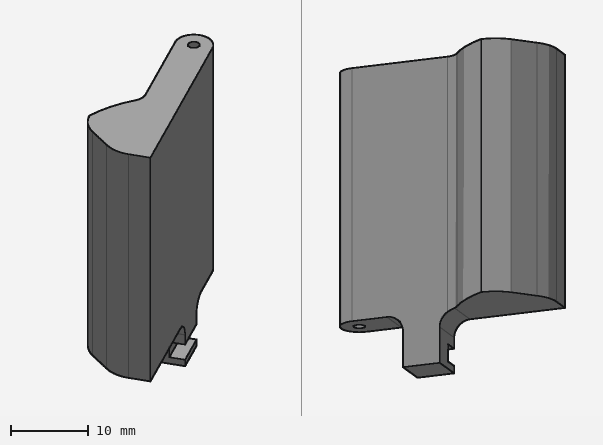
import cadquery as cq
import math

body_height = 34.0
length = 30.0
arm_thickness = 5.0
pin_diameter = 1.5

head_depth = 10.43
crest_y = 7.4
crest_radius = 5.0
crest_sweep = math.radians(45)
front_flat = 3.0
front_radius = 4.7
front_sweep = math.radians(45)
neck_y = 14.28
neck_radius = 2.0
neck_sweep = math.radians(53)
shoulder_radius = 17.0

tab_length = 7.0
tab_width = 5.1
tab_center_y = 17.9
tab_fillet = 2.2
slot_floor = 1.0
slot_height = 2.3
slot_depth = 2.1

pin_x = -arm_thickness / 2
pin_y = length - arm_thickness / 2


def point_on(center, radius, angle):
    """Point at the given angle on a circle."""
    return (center[0] + radius * math.cos(angle), center[1] + radius * math.sin(angle))


def make_prism(bottom, height):
    """Prism of the plate outline: a round-ended arm and a bulged head."""
    front_center = (-front_flat, front_radius)
    crest_center = (crest_radius - head_depth, crest_y)
    neck_center = (-arm_thickness - neck_radius, neck_y)
    front_start = -math.pi / 2
    crest = (-head_depth, crest_y)
    neck_end = point_on(neck_center, neck_radius, -neck_sweep)
    return (
        cq.Workplane("XY", origin=(0, 0, bottom))
        .moveTo(0, 0)
        .lineTo(-front_flat, 0)
        .threePointArc(
            point_on(front_center, front_radius, front_start - front_sweep / 2),
            point_on(front_center, front_radius, front_start - front_sweep),
        )
        .lineTo(*point_on(crest_center, crest_radius, math.pi + crest_sweep))
        .threePointArc(point_on(crest_center, crest_radius, math.pi + crest_sweep / 2), crest)
        .radiusArc(neck_end, shoulder_radius)
        .threePointArc(
            point_on(neck_center, neck_radius, -neck_sweep / 2),
            (-arm_thickness, neck_y),
        )
        .lineTo(-arm_thickness, pin_y)
        .threePointArc((pin_x, length), (0, pin_y))
        .close()
        .extrude(height)
    )


def make_tab():
    """Tab that follows the plate outline and flares into the body through a fillet on each side."""
    half_width = tab_width / 2
    flare_half_width = half_width + tab_fillet
    bend = tab_fillet * (1 - math.cos(math.radians(45)))
    silhouette = (
        cq.Workplane("YZ")
        .center(tab_center_y, 0)
        .moveTo(-half_width, -tab_length)
        .lineTo(half_width, -tab_length)
        .lineTo(half_width, -tab_fillet)
        .threePointArc((half_width + bend, -bend), (flare_half_width, 0))
        .lineTo(-flare_half_width, 0)
        .threePointArc((-half_width - bend, -bend), (-half_width, -tab_fillet))
        .close()
        .extrude(-head_depth)
    )
    return silhouette.intersect(make_prism(-tab_length, tab_length))


def make_slot():
    """Notch across the back of the tab."""
    return (
        cq.Workplane("XY")
        .box(slot_depth, tab_width, slot_height, centered=(False, True, False))
        .translate((-slot_depth, tab_center_y, slot_floor - tab_length))
    )


def make_pin_hole():
    """Through hole on the axis of the rounded arm end."""
    return cq.Workplane("XY").center(pin_x, pin_y).circle(pin_diameter / 2).extrude(body_height)


result = make_prism(0, body_height).union(make_tab()).cut(make_slot()).cut(make_pin_hole())